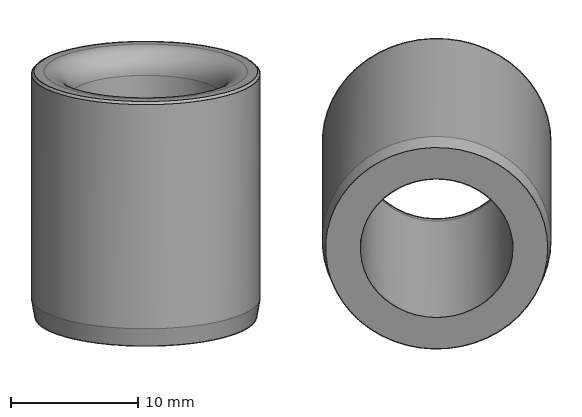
import cadquery as cq
import math

height = 20
outer_radius = 9
bore_radius = 6
entry_radius = 2
top_chamfer = 0.2
taper_height = 1.5
taper_angle = 10

taper_inset = taper_height * math.tan(math.radians(taper_angle))
entry_mid_offset = entry_radius * math.sin(math.radians(45))
entry_center_radius = bore_radius + entry_radius
entry_center_height = height - entry_radius

half_section = (
    cq.Workplane("XZ")
    .moveTo(bore_radius, 0)
    .lineTo(outer_radius - taper_inset, 0)
    .lineTo(outer_radius, taper_height)
    .lineTo(outer_radius, height - top_chamfer)
    .lineTo(outer_radius - top_chamfer, height)
    .lineTo(entry_center_radius, height)
    .threePointArc(
        (entry_center_radius - entry_mid_offset, entry_center_height + entry_mid_offset),
        (bore_radius, entry_center_height),
    )
    .close()
)

result = half_section.revolve(360, (0, 0, 0), (0, 1, 0))